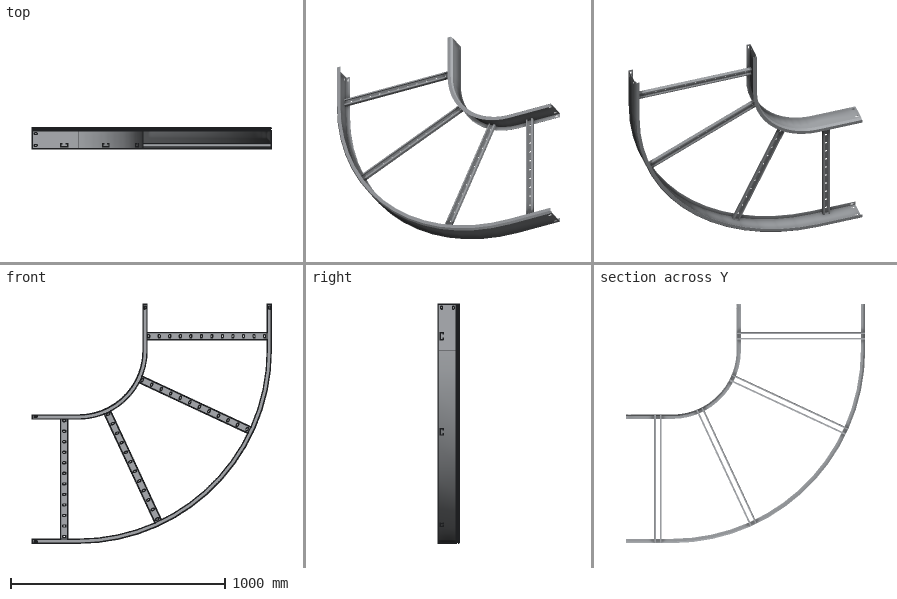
import cadquery as cq

TRAY_WIDTH = 600.0
INNER_RADIUS = 300.0
OUTER_RADIUS = INNER_RADIUS + TRAY_WIDTH
LEG_LENGTH = 1117 - OUTER_RADIUS
BEND_ANGLE = 90

RAIL_HEIGHT = 100.0
FLANGE_WIDTH = 20.0
SHEET = 1.5
LOWER_BEND_RADIUS = 2.0
TOP_CHAMFER = 3.9
GROOVE_DEPTH = 6.0

SLOT_LENGTH = 15.0
SLOT_WIDTH = 7.0
SLOT_END_DISTANCE = 17.0
WEB_SLOT_HEIGHTS = (17.0, 71.0)

RUNG_WIDTH = 35.0
RUNG_DEPTH = 17.0
RUNG_SHEET = 1.7
RUNG_BEND_RADIUS = 2.0
RUNG_LIP = 8.0
RUNG_BOTTOM = 9.0
RUNG_END_DISTANCE = 150.0
BEND_RUNG_ANGLES = (25, 65)
RUNG_SLOT_COUNT = 12
RUNG_FIRST_SLOT = 26.0
RUNG_SLOT_PITCH = 49.0
RUNG_SLOT_LENGTH = 15.0
RUNG_SLOT_WIDTH = 8.0

INNER_WEB_FACE = INNER_RADIUS + SHEET
OUTER_WEB_FACE = OUTER_RADIUS - SHEET
RUNG_LENGTH = OUTER_WEB_FACE - INNER_WEB_FACE


def turn(body, angle):
    """Rotate about the bend axis, from +X towards -Z."""
    return body.rotate((0, 0, 0), (0, 1, 0), angle)


def rail_outline(web_radius, inward, width):
    """Solid outline of a rail; `inward` (+1 or -1) is the way its flanges point in X."""
    ridge = RAIL_HEIGHT - TOP_CHAMFER
    valley = ridge - GROOVE_DEPTH
    groove_end = valley - GROOVE_DEPTH
    points = [
        (width, 0),
        (LOWER_BEND_RADIUS, 0),
        (0, LOWER_BEND_RADIUS),
        (0, groove_end),
        (GROOVE_DEPTH, valley),
        (0, ridge),
        (TOP_CHAMFER, RAIL_HEIGHT),
        (width, RAIL_HEIGHT),
    ]
    placed = [(web_radius + inward * depth, height) for depth, height in points]
    bend_middle = LOWER_BEND_RADIUS * (1 - 0.5**0.5)
    return (
        cq.Workplane("XY")
        .moveTo(*placed[0])
        .lineTo(*placed[1])
        .threePointArc((web_radius + inward * bend_middle, bend_middle), placed[2])
        .polyline(placed[3:], includeCurrent=True)
        .close()
    )


def rail_section(web_radius, inward):
    """Bent-sheet section: the outline less the same outline set in by the sheet thickness."""
    outer = cq.Face.makeFromWires(rail_outline(web_radius, inward, FLANGE_WIDTH).val())
    hollow = rail_outline(web_radius, inward, FLANGE_WIDTH + SHEET).offset2D(-SHEET, "intersection")
    return outer.cut(cq.Face.makeFromWires(hollow.val())).Faces()[0]


def rail_end_slots(web_radius, inward):
    """Cutters for the slots near the end of the leg that runs along +Z."""
    slot_z = LEG_LENGTH - SLOT_END_DISTANCE
    web_slots = (
        cq.Workplane("YZ", origin=(web_radius, 0, 0))
        .pushPoints([(height, slot_z) for height in WEB_SLOT_HEIGHTS])
        .slot2D(SLOT_LENGTH, SLOT_WIDTH, 90)
        .extrude(2 * SHEET, both=True)
    )
    flange_slot = (
        cq.Workplane("XZ")
        .center(web_radius + inward * FLANGE_WIDTH / 2, slot_z)
        .slot2D(SLOT_LENGTH, SLOT_WIDTH, 90)
        .extrude(2 * SHEET, both=True)
    )
    return web_slots.add(flange_slot).combine()


def make_rail(web_radius, inward):
    """Side rail: a quarter-circle bend with a straight leg, slotted at its end, on both sides."""
    face = rail_section(web_radius, inward)
    bend = cq.Workplane(
        cq.Solid.revolve(face, BEND_ANGLE, cq.Vector(0, 0, 0), cq.Vector(0, 1, 0))
    )
    leg = cq.Workplane(cq.Solid.extrudeLinear(face, cq.Vector(0, 0, LEG_LENGTH)))
    leg = leg.cut(rail_end_slots(web_radius, inward))
    far_leg = turn(leg.mirror("XY"), BEND_ANGLE)
    return bend.union(leg).union(far_leg)


def make_rung(angle, offset):
    """Lipped channel along the radius at `angle`, shifted sideways by `offset`; open towards +Y."""
    section = cq.Workplane("YZ", origin=(INNER_RADIUS, RUNG_BOTTOM + RUNG_DEPTH / 2, 0))
    tube = section.rect(RUNG_DEPTH, RUNG_WIDTH).extrude(TRAY_WIDTH)
    tube = tube.edges("|X").fillet(RUNG_BEND_RADIUS)
    hollow = section.rect(RUNG_DEPTH - 2 * RUNG_SHEET, RUNG_WIDTH - 2 * RUNG_SHEET).extrude(TRAY_WIDTH)
    hollow = hollow.edges("|X").fillet(RUNG_BEND_RADIUS - RUNG_SHEET)
    mouth = (
        section.center(RUNG_DEPTH / 2, 0)
        .rect(RUNG_DEPTH, RUNG_WIDTH - 2 * RUNG_LIP)
        .extrude(TRAY_WIDTH)
    )
    slots = (
        cq.Workplane("XZ", origin=(INNER_WEB_FACE + RUNG_FIRST_SLOT, RUNG_BOTTOM, 0))
        .pushPoints([(number * RUNG_SLOT_PITCH, 0) for number in range(RUNG_SLOT_COUNT)])
        .slot2D(RUNG_SLOT_LENGTH, RUNG_SLOT_WIDTH, 90)
        .extrude(2 * RUNG_SHEET, both=True)
    )
    rung = tube.cut(hollow).cut(mouth).cut(slots)
    if offset == 0:
        space = cq.Workplane("XZ").circle(OUTER_WEB_FACE).circle(INNER_WEB_FACE).extrude(-RAIL_HEIGHT)
    else:
        space = cq.Workplane("XY").box(RUNG_LENGTH, 2 * RAIL_HEIGHT, 2 * RUNG_WIDTH).translate(
            (INNER_RADIUS + TRAY_WIDTH / 2, 0, 0)
        )
    return turn(rung.intersect(space).translate((0, 0, offset)), angle)


inner_rail = make_rail(INNER_RADIUS, 1)
outer_rail = make_rail(OUTER_RADIUS, -1)
leg_offset = LEG_LENGTH - RUNG_END_DISTANCE
rungs = [make_rung(0, leg_offset), make_rung(BEND_ANGLE, -leg_offset)]
rungs += [make_rung(angle, 0) for angle in BEND_RUNG_ANGLES]

result = cq.Compound.makeCompound(
    [inner_rail.val(), outer_rail.val(), *[rung.val() for rung in rungs]]
)